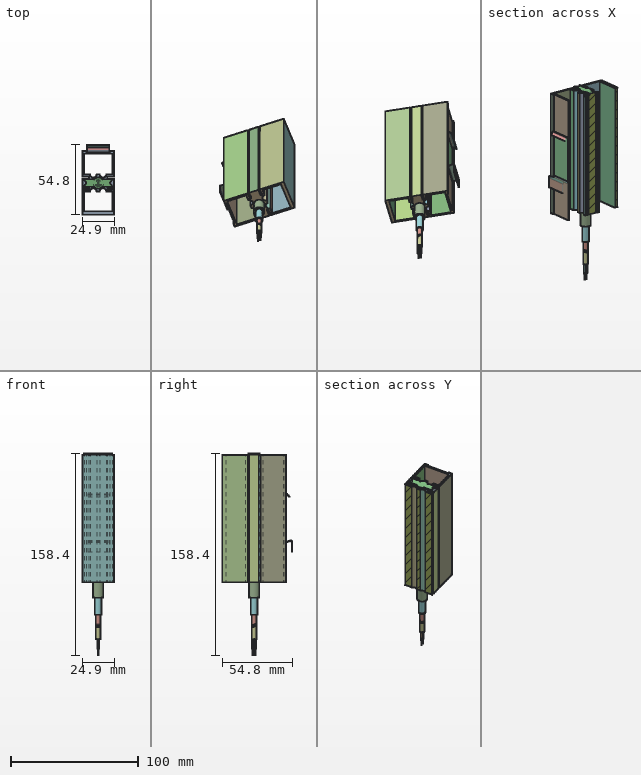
import cadquery as cq
import math

width = 24.9
depth = 50.0
height = 100.0
overall_height = 158.4
side_wall = 1.5
front_wall = 2.9
back_wall = 2.4
web_half = 6.8

slot_inner = 3.8
slot_outer = 5.0
slot_depth = 5.2

groove_radius = 2.5
groove_offset = 3.8

channel_width = 18.5
channel_depth = 1.0

insert_height = 1.3
insert_half_length = 11.2
insert_half_width = 2.9
insert_notch = 2.0
insert_core_radius = 4.5

clip_width = 17.6
clip_thickness = 0.5
clip_bend_radius = 0.8
clip_lip_length = 2.9
clip_lip_angle = 45
clip_lip_tip_z = 67.2
clip_plate_length = 36.3
clip_hook_angle = 20
clip_hook_reach = 4.8
clip_hook_leg = 8.1

gland_radius = 4.1
gland_end_z = -11.9
sleeve_radius = 2.7
sleeve_end_z = -25.3
cable_radius = 1.9
cable_end_z = -44.4
break_z = -33.7
break_gap = 1.5
break_angle = 23
wire_radius = 0.8
wire_spacing = 1.9
wire_end_z = -52.0
conductor_radius = 0.3
conductor_end_z = height + insert_height - overall_height


def block(x_range, y_range, z_range):
    """Box between the given limits."""
    (x0, x1), (y0, y1), (z0, z1) = x_range, y_range, z_range
    return cq.Workplane("XY").box(x1 - x0, y1 - y0, z1 - z0, centered=False).translate((x0, y0, z0))


def rod(radius, top_z, bottom_z, y=0.0):
    """Upright cylinder at x = 0."""
    return cq.Workplane("XY", origin=(0, y, bottom_z)).circle(radius).extrude(top_z - bottom_z)


def make_profile():
    full_height = (0, height)
    inside = (side_wall - width / 2, width / 2 - side_wall)
    profile = block((-width / 2, width / 2), (-depth / 2, depth / 2), full_height)
    profile = profile.cut(block(inside, (web_half, depth / 2 - back_wall), full_height))
    profile = profile.cut(block(inside, (front_wall - depth / 2, -web_half), full_height))

    for x_side in (-1, 1):
        slot_x = sorted((x_side * width / 2, x_side * (width / 2 - slot_depth)))
        for y_side in (-1, 1):
            slot_y = sorted((y_side * slot_inner, y_side * slot_outer))
            profile = profile.cut(block(slot_x, slot_y, full_height))
            groove = rod(groove_radius, height, 0).translate((x_side * groove_offset, y_side * web_half, 0))
            profile = profile.cut(groove)

    channel = block(
        (-channel_width / 2, channel_width / 2),
        (depth / 2 - channel_depth, depth / 2),
        full_height,
    )
    return profile.cut(channel)


def make_insert():
    """Bar with V-notched ends and a round core, standing on the web."""
    notch_x = insert_half_length - insert_notch
    bar = (
        cq.Workplane("XY", origin=(0, 0, height))
        .moveTo(-insert_half_length, -insert_half_width)
        .lineTo(insert_half_length, -insert_half_width)
        .lineTo(notch_x, 0)
        .lineTo(insert_half_length, insert_half_width)
        .lineTo(-insert_half_length, insert_half_width)
        .lineTo(-notch_x, 0)
        .close()
        .extrude(insert_height)
    )
    return bar.union(rod(insert_core_radius, height + insert_height, height))


def make_clip():
    """Follow the strip's middle line in the YZ plane, from the lip's tip to the hook's end."""
    lip = math.radians(clip_lip_angle)
    arm = math.radians(clip_hook_angle)
    radius = clip_bend_radius
    plate_y = depth / 2 - channel_depth + clip_thickness / 2
    hook_y = depth / 2 + clip_hook_reach - clip_thickness / 2

    start_y = plate_y + radius * (1 + math.sin(lip)) + clip_lip_length * math.cos(lip)
    arm_run = hook_y - plate_y - 2 * radius * (1 + math.sin(arm))
    start_heading = math.pi - lip
    steps = [
        (clip_lip_length, math.pi / 2 + lip),
        (clip_plate_length, math.pi / 2 + arm),
        (arm_run / math.cos(arm), -math.pi / 2 - arm),
        (clip_hook_leg, 0),
    ]

    y, z, heading = start_y, clip_lip_tip_z, start_heading
    path = cq.Workplane("YZ").moveTo(y, z)
    for length, turn in steps:
        y += length * math.cos(heading)
        z += length * math.sin(heading)
        path = path.lineTo(y, z)
        if turn == 0:
            continue
        side = math.copysign(radius, turn)
        center_y = y - side * math.sin(heading)
        center_z = z + side * math.cos(heading)
        middle = heading + turn / 2
        heading += turn
        y = center_y + side * math.sin(heading)
        z = center_z - side * math.cos(heading)
        middle_point = (center_y + side * math.sin(middle), center_z - side * math.cos(middle))
        path = path.threePointArc(middle_point, (y, z))

    section_plane = cq.Plane(
        origin=(0, start_y, clip_lip_tip_z),
        xDir=(1, 0, 0),
        normal=(0, math.cos(start_heading), math.sin(start_heading)),
    )
    return cq.Workplane(section_plane).rect(clip_width, clip_thickness).sweep(path)


def break_cutter(axis_z, upward):
    """Everything above or below the slanted plane that crosses the axis at axis_z."""
    reach = gland_radius
    rise = reach * math.tan(math.radians(break_angle))
    far_z = 0 if upward else conductor_end_z
    return (
        cq.Workplane("YZ")
        .polyline([(-reach, axis_z - rise), (reach, axis_z + rise), (reach, far_z), (-reach, far_z)])
        .close()
        .extrude(reach, both=True)
    )


def make_upper_cable():
    cord = rod(cable_radius, sleeve_end_z, cable_end_z)
    cord = cord.cut(break_cutter(break_z + break_gap / 2, upward=False))
    gland = rod(gland_radius, 0, gland_end_z)
    sleeve = rod(sleeve_radius, gland_end_z, sleeve_end_z)
    return gland.union(sleeve).union(cord)


def make_housing():
    """Profile with its insert, clip and the cable down to the break."""
    return make_profile().union(make_insert()).union(make_clip()).union(make_upper_cable())


def make_cable_end():
    """Cable below the break, with its two stripped wires."""
    cable_end = rod(cable_radius, sleeve_end_z, cable_end_z)
    cable_end = cable_end.cut(break_cutter(break_z - break_gap / 2, upward=True))
    for y in (-wire_spacing / 2, wire_spacing / 2):
        cable_end = cable_end.union(rod(wire_radius, cable_end_z, wire_end_z, y))
        cable_end = cable_end.union(rod(conductor_radius, wire_end_z, conductor_end_z, y))
    return cable_end


housing = make_housing()
cable_end = make_cable_end()
result = cq.Compound.makeCompound([housing.solids().val(), cable_end.solids().val()])